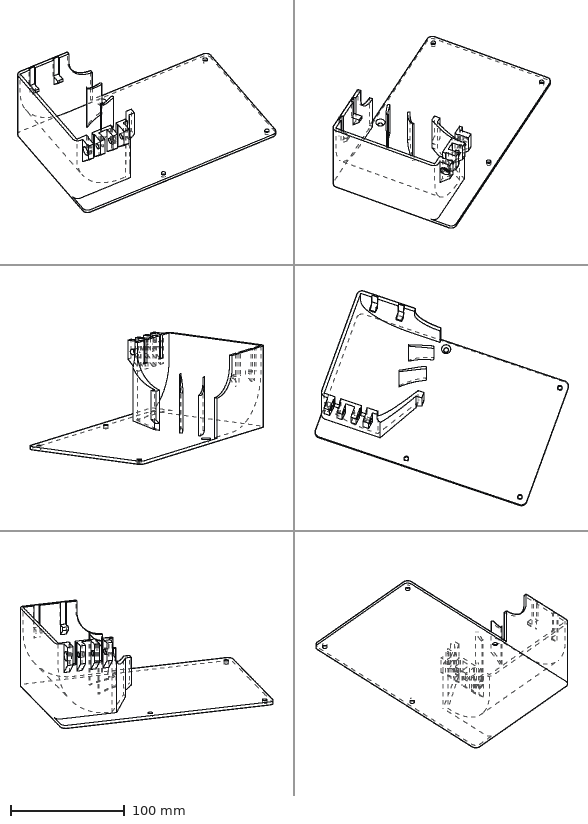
import cadquery as cq
import math

PLATE_X = 120.0
PLATE_Y = 197
PLATE_T = 3.0
CORNER_R = 5.0
HOLE_PITCH = 106.0
HOLE_INSET = (PLATE_X - HOLE_PITCH) / 2
HOLE_D = 4
SINK_D = 8.0

HEIGHT = 73.0
BOX_X = 102.8
WALL = 3.0
WALL_END_Y = 76.8
ARC_R = 23.8
LOW_Z = 39.0
BOX_BACK_Y = WALL_END_Y - ARC_R

RAMP_R = 45.9

POST_X = 60.9
POST_SIZE = 5.3
POST_BOTTOM_Z = 8.9
POST_CHAMFER_Z = 4.1
SLANT_OUTER_DROP = 20.7

VANE_BACK_XS = (19.1, 39.0)
VANE_FRONT_XS = (28.0, 52.8)
VANE_BACK_WIDTH = 2.4
VANE_FRONT_WIDTH = 1.0
VANE_BACK_Y = WALL_END_Y - VANE_BACK_WIDTH / 2
VANE_FRONT_Y = 56.1
VANE_BULGE = 1.0

SLOT_YS = (15.8, 40.4)
SLOT_WIDTH = 5.3
SLOT_DEPTH = 20.9
SLOT_START_X = 1.28
LEDGE_END_X = 8.9
LEDGE_TIP = 3.0

LUG_REACH = 10.0
LUG_DROP = 17.0
OUTER_LUG_T = 5.3
INNER_LUG_T = 4.7
LUGS = ((9.8, OUTER_LUG_T), (21.7, INNER_LUG_T), (34.7, INNER_LUG_T), (46.3, OUTER_LUG_T))
PIN_X = BOX_X + LUG_REACH / 2
PIN_Z = HEIGHT - 10.0
PIN_D = 5.0
PIN_HEAD_D = 8.0
PIN_HEAD_DEPTH = 4


def block(x0, x1, y0, y1, z0, z1):
    return cq.Workplane("XY").box(x1 - x0, y1 - y0, z1 - z0, centered=False).translate((x0, y0, z0))


def make_plate():
    plate = block(0, PLATE_X, 0, PLATE_Y, 0, PLATE_T).edges("|Z").fillet(CORNER_R)
    back_y = PLATE_Y - HOLE_INSET
    front_y = back_y - HOLE_PITCH
    left_x = HOLE_INSET
    right_x = PLATE_X - HOLE_INSET
    plain_holes = [(left_x, back_y), (right_x, back_y), (right_x, front_y)]
    top = cq.Workplane("XY", origin=(0, 0, PLATE_T))
    for x, y in plain_holes:
        plate = plate.cut(top.center(x, y).circle(HOLE_D / 2).extrude(-PLATE_T))
    sink = top.center(left_x, front_y).circle(SINK_D / 2)
    sink = sink.workplane(offset=-PLATE_T).circle(HOLE_D / 2).loft()
    return plate.cut(sink)


def make_walls():
    """Left, front and right walls, with the slanted wall closing the back right corner."""
    walls = block(0, BOX_X, 0, BOX_BACK_Y, 0, HEIGHT)
    walls = walls.edges("|Z and <Y").fillet(CORNER_R)
    walls = walls.cut(block(WALL, BOX_X - WALL, WALL, BOX_BACK_Y, 0, HEIGHT))
    walls = walls.union(block(0, WALL, BOX_BACK_Y, WALL_END_Y, 0, HEIGHT))
    slanted = (
        cq.Workplane("XY")
        .moveTo(POST_X, WALL_END_Y)
        .lineTo(POST_X + POST_SIZE, WALL_END_Y)
        .lineTo(BOX_X, WALL_END_Y - SLANT_OUTER_DROP)
        .lineTo(BOX_X, BOX_BACK_Y)
        .lineTo(BOX_X - WALL, BOX_BACK_Y)
        .close()
        .extrude(HEIGHT)
    )
    return walls.union(slanted)


def make_vane(back_x, front_x):
    """Bowed vane between two end centres, bulging towards the left."""
    run_x = front_x - back_x
    run_y = VANE_FRONT_Y - VANE_BACK_Y
    length = math.hypot(run_x, run_y)

    def point(along, left):
        """Place a point by its distance along the vane's chord and to the left of the chord (-X side)."""
        x = back_x + (along * run_x + left * run_y) / length
        y = VANE_BACK_Y + (along * run_y - left * run_x) / length
        return (x, y)

    back_half = VANE_BACK_WIDTH / 2
    front_half = VANE_FRONT_WIDTH / 2
    middle_half = (back_half + front_half) / 2
    return (
        cq.Workplane("XY")
        .moveTo(*point(0, back_half))
        .threePointArc(point(length / 2, VANE_BULGE + middle_half), point(length, front_half))
        .lineTo(*point(length, -front_half))
        .threePointArc(point(length / 2, VANE_BULGE - middle_half), point(0, -back_half))
        .threePointArc(point(-back_half, 0), point(0, back_half))
        .close()
        .extrude(HEIGHT)
    )


def make_back_scoop():
    """Space above the concave arc that lowers everything behind the box."""
    center_z = LOW_Z + ARC_R
    diagonal = ARC_R * math.sqrt(0.5)
    return (
        cq.Workplane("YZ")
        .moveTo(BOX_BACK_Y, HEIGHT)
        .lineTo(BOX_BACK_Y, center_z)
        .threePointArc((WALL_END_Y - diagonal, center_z - diagonal), (WALL_END_Y, LOW_Z))
        .lineTo(PLATE_Y, LOW_Z)
        .lineTo(PLATE_Y, HEIGHT)
        .close()
        .extrude(PLATE_X)
    )


def make_post():
    back_y = WALL_END_Y + POST_SIZE
    return (
        cq.Workplane("YZ", origin=(POST_X, 0, 0))
        .moveTo(WALL_END_Y, LOW_Z)
        .lineTo(back_y, LOW_Z)
        .lineTo(back_y, POST_BOTTOM_Z + POST_CHAMFER_Z)
        .lineTo(WALL_END_Y, POST_BOTTOM_Z)
        .close()
        .extrude(POST_SIZE)
    )


def make_ramp():
    center_y = WALL + RAMP_R
    center_z = PLATE_T + RAMP_R
    diagonal = RAMP_R * math.sqrt(0.5)
    return (
        cq.Workplane("YZ", origin=(WALL, 0, 0))
        .moveTo(WALL, PLATE_T)
        .lineTo(center_y, PLATE_T)
        .threePointArc((center_y - diagonal, center_z - diagonal), (WALL, center_z))
        .close()
        .extrude(BOX_X - 2 * WALL)
    )


def make_ledge(y):
    """Ledge on the left wall with a 45 degree underside."""
    top_z = HEIGHT - SLOT_DEPTH
    reach = LEDGE_END_X - WALL
    return (
        cq.Workplane("XZ", origin=(0, y + SLOT_WIDTH / 2, 0))
        .moveTo(WALL, top_z)
        .lineTo(LEDGE_END_X, top_z)
        .lineTo(LEDGE_END_X, top_z - LEDGE_TIP)
        .lineTo(WALL, top_z - LEDGE_TIP - reach)
        .close()
        .extrude(SLOT_WIDTH)
    )


def make_slots(y):
    near_y = y - SLOT_WIDTH / 2
    far_y = y + SLOT_WIDTH / 2
    return block(SLOT_START_X, BOX_X, near_y, far_y, HEIGHT - SLOT_DEPTH, HEIGHT)


def make_lug(y, thickness):
    """Lug with its middle at y and a 45 degree underside."""
    return (
        cq.Workplane("XZ", origin=(BOX_X, y + thickness / 2, 0))
        .moveTo(0, HEIGHT)
        .lineTo(LUG_REACH, HEIGHT)
        .lineTo(LUG_REACH, HEIGHT - LUG_DROP)
        .lineTo(0, HEIGHT - LUG_DROP - LUG_REACH)
        .close()
        .extrude(thickness)
    )


def make_pin_hole():
    front_y = LUGS[0][0] - OUTER_LUG_T / 2
    back_y = LUGS[-1][0] + OUTER_LUG_T / 2
    face = cq.Workplane("XZ", origin=(PIN_X, front_y, PIN_Z))
    hole = face.circle(PIN_D / 2).extrude(front_y - back_y)
    head = face.circle(PIN_HEAD_D / 2).extrude(-PIN_HEAD_DEPTH)
    return hole.union(head)


result = make_walls()
for vane_back_x, vane_front_x in zip(VANE_BACK_XS, VANE_FRONT_XS):
    result = result.union(make_vane(vane_back_x, vane_front_x))
result = result.cut(make_back_scoop())
result = result.union(make_post()).union(make_plate()).union(make_ramp())
for slot_y in SLOT_YS:
    result = result.cut(make_slots(slot_y)).union(make_ledge(slot_y))
for lug_y, lug_thickness in LUGS:
    result = result.union(make_lug(lug_y, lug_thickness))
result = result.cut(make_pin_hole())